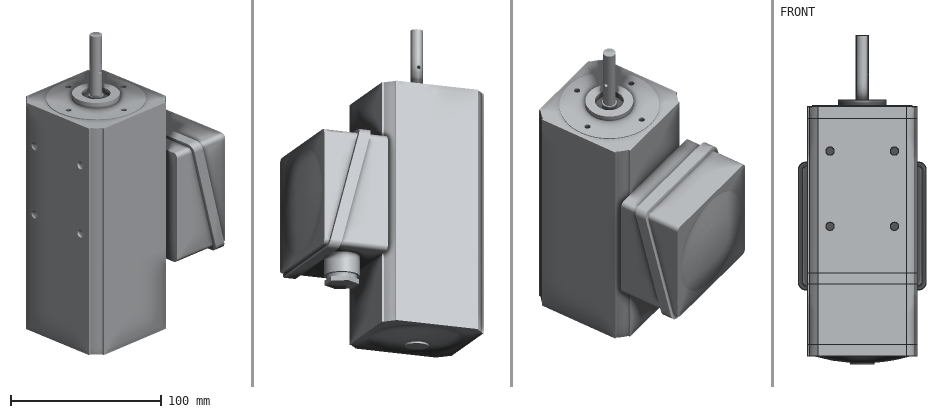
import cadquery as cq
import math


OVERALL_HEIGHT = 218.5
BODY_WIDTH = 73.0
CORNER_CUT = 7.0
CORNER_STEP = 1.3
CORNER_BULGE_ANGLE = 20

REAR_CAP_BOTTOM = 5.2
BRAKE_BOTTOM = 13.1
RING_BOTTOM = 53.3
HOUSING_BOTTOM = 60.5
SHIELD_BOTTOM = 163.2
SHIELD_TOP = 171.0

PAD_RADIUS = 33.2
PAD_HEIGHT = 0.7
PILOT_RADIUS = 16.0
PILOT_TOP = 175.7
RECESS_RADIUS = 9.6
COLLAR_RADIUS = 5.0
COLLAR_HEIGHT = 3.5
SHAFT_RADIUS = 4.2
CROSS_HOLE_RADIUS = 1.2
CROSS_HOLE_Z = 192.3
SHIELD_HOLE_RADIUS = 2.08
SHIELD_HOLE_CIRCLE = 26.0

MOUNT_HOLE_DIAMETER = 5.5
MOUNT_HOLE_DEPTH = 8.7
MOUNT_HOLE_X = 21.5
MOUNT_HOLE_Z = (91.5, 141.5)

REAR_DOME_RADIUS = 31.0
REAR_DOME_HEIGHT = 4.4
REAR_BOSS_RADIUS = 7.9

BOX_SIDE = 79.8
BOX_DEPTH = 45.5
BOX_CENTRE_Z = 91.8
BOX_CORNER_RADIUS = 3.3
COVER_DOME_RADIUS = 35.6
COVER_DOME_HEIGHT = 3.0
BAND_SIDE = 85.0
BAND_CORNER_RADIUS = 5.2
BAND_CENTRE_Y = 64.2
BAND_WIDTH_Y = 8.0
BAND_TILT = 15

GLAND_X = -14.9
GLAND_Y = 59.5
GLAND_RADIUS = 12.0
GLAND_BOTTOM = 38.2
NECK_RADIUS = 10.0
NECK_BOTTOM = 35.6
NUT_ACROSS_FLATS = 20.0
NUT_BOTTOM = 32.3

HALF_BODY = BODY_WIDTH / 2
BOX_OUTER_Y = HALF_BODY + BOX_DEPTH
BOX_BOTTOM = BOX_CENTRE_Z - BOX_SIDE / 2


def cylinder(radius, bottom, top, x=0, y=0):
    """Vertical cylinder between two heights."""
    return cq.Workplane("XY", origin=(x, y, bottom)).circle(radius).extrude(top - bottom)


def dome(radius, height):
    """Spherical cap on the XY plane, rising along +Z."""
    sphere_radius = (radius**2 + height**2) / (2 * height)
    mid_radius = radius / 2
    mid_height = math.sqrt(sphere_radius**2 - mid_radius**2) - sphere_radius + height
    return (
        cq.Workplane("XZ")
        .moveTo(0, 0)
        .lineTo(radius, 0)
        .threePointArc((mid_radius, mid_height), (0, height))
        .close()
        .revolve(360, (0, 0, 0), (0, 1, 0))
    )


def quarter_turn(x, y, quarters):
    """Point turned about the origin by a number of quarter turns."""
    for _ in range(quarters):
        x, y = -y, x
    return (x, y)


def body_section(bottom, top):
    """Length of the motor profile: a square with stepped, slightly bulged corners."""
    flat_end = HALF_BODY - CORNER_CUT
    step_in = HALF_BODY - CORNER_STEP
    half_chord = (step_in - flat_end) / math.sqrt(2)
    bulge = half_chord * math.tan(math.radians(CORNER_BULGE_ANGLE / 4))
    corner_mid = (step_in + flat_end) / 2 + bulge / math.sqrt(2)

    profile = cq.Workplane("XY", origin=(0, 0, bottom)).moveTo(HALF_BODY, -flat_end)
    for quarter in range(4):
        profile = (
            profile.lineTo(*quarter_turn(HALF_BODY, flat_end, quarter))
            .lineTo(*quarter_turn(step_in, flat_end, quarter))
            .threePointArc(
                quarter_turn(corner_mid, corner_mid, quarter),
                quarter_turn(flat_end, step_in, quarter),
            )
            .lineTo(*quarter_turn(flat_end, HALF_BODY, quarter))
        )
    return profile.close().extrude(top - bottom)


def make_end_shield():
    """Front end shield with pilot and output shaft."""
    shield = body_section(SHIELD_BOTTOM, SHIELD_TOP)
    shield = shield.union(cylinder(PAD_RADIUS, SHIELD_TOP, SHIELD_TOP + PAD_HEIGHT))
    shield = shield.union(cylinder(PILOT_RADIUS, SHIELD_TOP, PILOT_TOP))
    shield = shield.cut(cylinder(RECESS_RADIUS, SHIELD_TOP, PILOT_TOP))

    screw_holes = (
        cq.Workplane("XY", origin=(0, 0, SHIELD_BOTTOM))
        .polarArray(SHIELD_HOLE_CIRCLE, 0, 360, 4)
        .circle(SHIELD_HOLE_RADIUS)
        .extrude(SHIELD_TOP + PAD_HEIGHT - SHIELD_BOTTOM)
    )
    shield = shield.cut(screw_holes)

    collar = cylinder(COLLAR_RADIUS, SHIELD_TOP, SHIELD_TOP + COLLAR_HEIGHT)
    shaft = cylinder(SHAFT_RADIUS, SHIELD_TOP, OVERALL_HEIGHT)
    cross_hole = (
        cq.Workplane("YZ", origin=(0, 0, CROSS_HOLE_Z))
        .circle(CROSS_HOLE_RADIUS)
        .extrude(2 * SHAFT_RADIUS, both=True)
    )
    return shield.union(collar).union(shaft.cut(cross_hole))


def make_housing():
    """Motor housing with four blind mounting holes in the -Y face."""
    hole_points = [(x, z) for x in (-MOUNT_HOLE_X, MOUNT_HOLE_X) for z in MOUNT_HOLE_Z]
    mounting_holes = (
        cq.Workplane("XZ", origin=(0, -HALF_BODY, 0))
        .pushPoints(hole_points)
        .circle(MOUNT_HOLE_DIAMETER / 2)
        .extrude(-MOUNT_HOLE_DEPTH)
    )
    return body_section(HOUSING_BOTTOM, SHIELD_BOTTOM).cut(mounting_holes)


def make_rear_cap():
    """Rear cap with a shallow dome and a small centre boss underneath."""
    rear_dome = (
        dome(REAR_DOME_RADIUS, REAR_DOME_HEIGHT)
        .rotate((0, 0, 0), (1, 0, 0), 180)
        .translate((0, 0, REAR_CAP_BOTTOM))
    )
    rear_boss = cylinder(REAR_BOSS_RADIUS, 0, REAR_CAP_BOTTOM)
    return body_section(REAR_CAP_BOTTOM, BRAKE_BOTTOM).union(rear_dome).union(rear_boss)


def rounded_block(side, corner_radius, start_y, depth):
    """Square block at the box centre, running along +Y, with rounded long edges."""
    return (
        cq.Workplane("XZ", origin=(0, start_y, BOX_CENTRE_Z))
        .rect(side, side)
        .extrude(-depth)
        .edges("|Y")
        .fillet(corner_radius)
    )


def make_box_band():
    """Raised band that runs round the box between two slanted planes."""
    half_height = BAND_SIDE / 2
    lean = half_height * math.tan(math.radians(BAND_TILT))
    half_width = BAND_WIDTH_Y / 2
    slanted_slab = (
        cq.Workplane("YZ", origin=(0, BAND_CENTRE_Y, BOX_CENTRE_Z))
        .polyline([
            (lean - half_width, -half_height),
            (lean + half_width, -half_height),
            (-lean + half_width, half_height),
            (-lean - half_width, half_height),
        ])
        .close()
        .extrude(half_height, both=True)
    )
    band_block = rounded_block(BAND_SIDE, BAND_CORNER_RADIUS, HALF_BODY, BOX_DEPTH)
    return band_block.intersect(slanted_slab)


def make_gland():
    """Cable gland: sleeve, neck and hexagon nut with its flats facing +Y and -Y."""
    sleeve = cylinder(GLAND_RADIUS, GLAND_BOTTOM, BOX_BOTTOM, x=GLAND_X, y=GLAND_Y)
    neck = cylinder(NECK_RADIUS, NECK_BOTTOM, GLAND_BOTTOM, x=GLAND_X, y=GLAND_Y)
    nut = (
        cq.Workplane("XY", origin=(GLAND_X, GLAND_Y, NUT_BOTTOM))
        .polygon(6, NUT_ACROSS_FLATS / math.cos(math.pi / 6))
        .extrude(NECK_BOTTOM - NUT_BOTTOM)
    )
    return sleeve.union(neck).union(nut)


def make_terminal_box():
    """Terminal box with domed cover, slanted band and cable gland."""
    box = rounded_block(BOX_SIDE, BOX_CORNER_RADIUS, HALF_BODY, BOX_DEPTH)
    cover_dome = (
        dome(COVER_DOME_RADIUS, COVER_DOME_HEIGHT)
        .rotate((0, 0, 0), (1, 0, 0), -90)
        .translate((0, BOX_OUTER_Y, BOX_CENTRE_Z))
    )
    return box.union(cover_dome).union(make_box_band()).union(make_gland())


end_shield = make_end_shield()
housing = make_housing()
ring = body_section(RING_BOTTOM, HOUSING_BOTTOM)
brake = body_section(BRAKE_BOTTOM, RING_BOTTOM)
rear_cap = make_rear_cap()
terminal_box = make_terminal_box()

result = cq.Compound.makeCompound([
    end_shield.val(),
    housing.val(),
    ring.val(),
    brake.val(),
    rear_cap.val(),
    terminal_box.val(),
])